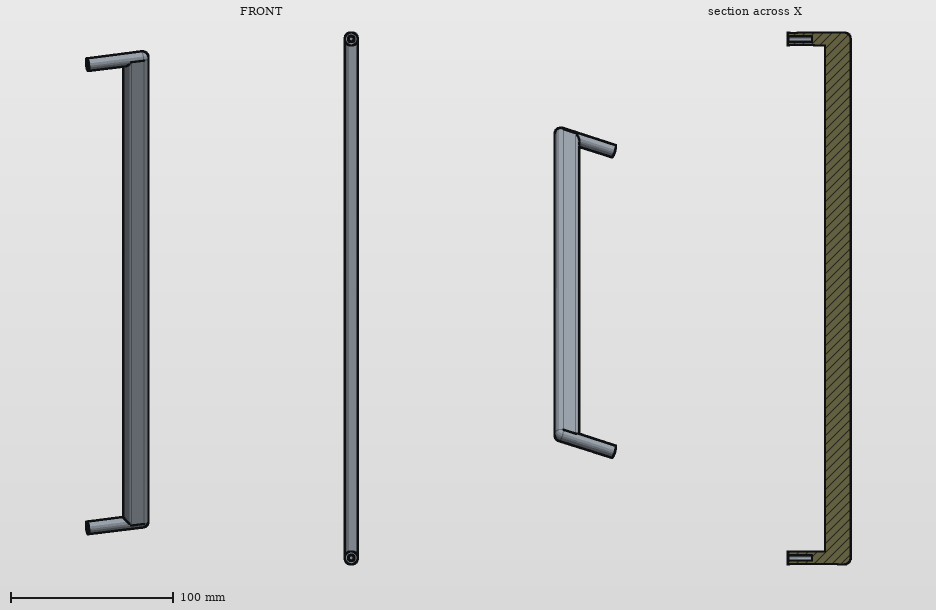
import cadquery as cq

grip_width = 8.24
grip_depth = 16.0
handle_height = 39.0
leg_spacing = 320.0
foot_diameter = 8.0
screw_hole_diameter = 3.2
screw_hole_depth = 15.0
countersink_diameter = 4.0

corner_radius = grip_width / 2
corner_center_y = handle_height - corner_radius
grip_center_y = handle_height - grip_depth / 2
half_spacing = leg_spacing / 2
countersink_depth = (countersink_diameter - screw_hole_diameter) / 2


def make_grip():
    """Straight grip with a slot-shaped section, running between the leg axes."""
    return (
        cq.Workplane("XY", origin=(0, grip_center_y, -half_spacing))
        .slot2D(grip_depth, grip_width, angle=90)
        .extrude(leg_spacing)
    )


def round_along_y(start_diameter, end_diameter, length, z):
    """Cone frustum about a Y-parallel axis, from the mounting plane toward +Y."""
    return (
        cq.Workplane("XZ", origin=(0, 0, z))
        .circle(start_diameter / 2)
        .workplane(offset=-length)
        .circle(end_diameter / 2)
        .loft()
    )


def make_leg(z):
    """Slightly tapered leg, closed by a spherical corner at the outer side."""
    shank = round_along_y(foot_diameter, grip_width, corner_center_y, z)
    corner = cq.Workplane("XY", origin=(0, corner_center_y, z)).sphere(corner_radius)
    return shank.union(corner)


def make_screw_hole(z):
    """Blind screw hole in the foot of a leg, with a countersunk mouth."""
    bore = cq.Workplane("XZ", origin=(0, 0, z)).circle(screw_hole_diameter / 2).extrude(-screw_hole_depth)
    countersink = round_along_y(countersink_diameter, screw_hole_diameter, countersink_depth, z)
    return bore.union(countersink)


result = make_grip()
for leg_z in (-half_spacing, half_spacing):
    result = result.union(make_leg(leg_z)).cut(make_screw_hole(leg_z))